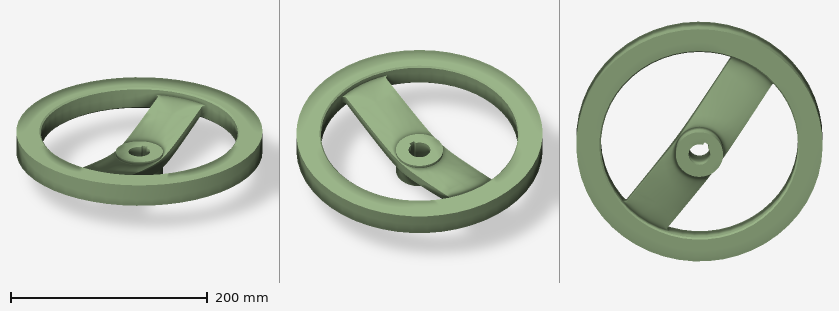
import cadquery as cq
import math

RIM_RADIUS = 125.0
RIM_BORE_RADIUS = 100.0
RIM_HEIGHT = 23.0
RIM_CHAMFER = 1.5

HUB_RADIUS = 24.0
HUB_BOTTOM = -28.0
HUB_TOP = 0.0
BORE_RADIUS = 11.0
KEYWAY_WIDTH = 6.0
KEYWAY_DEPTH = 2.8

SPOKE_WIDTH = 50.0
DISH_FLAT_RADIUS = SPOKE_WIDTH / 2
DISH_BOTTOM = -14.0
DISH_TOP = -3.0
DISH_BOTTOM_AT_RIM = 8.0
DISH_TOP_AT_RIM = 16.0
SPOKE_CORNER_RADIUS = 3.0
RIM_OVERLAP = 2.0


def revolve_about_z(radius_height_points):
    """Solid of revolution about Z, with its seam on the spoke axis (Y)."""
    profile = cq.Workplane("YZ").polyline(radius_height_points).close()
    return profile.revolve(360, (0, 0, 0), (0, 1, 0))


def make_rim():
    """Plain ring with both edges of its inner wall chamfered."""
    chamfered_radius = RIM_BORE_RADIUS + RIM_CHAMFER
    return revolve_about_z(
        [
            (RIM_RADIUS, 0),
            (RIM_RADIUS, RIM_HEIGHT),
            (chamfered_radius, RIM_HEIGHT),
            (RIM_BORE_RADIUS, RIM_HEIGHT - RIM_CHAMFER),
            (RIM_BORE_RADIUS, RIM_CHAMFER),
            (chamfered_radius, 0),
        ]
    )


def make_dish():
    """Conical dish that carries the spoke from the hub up into the rim."""
    overlap_ratio = RIM_OVERLAP / (RIM_BORE_RADIUS - DISH_FLAT_RADIUS)
    outer_radius = RIM_BORE_RADIUS + RIM_OVERLAP
    outer_bottom = DISH_BOTTOM_AT_RIM + overlap_ratio * (DISH_BOTTOM_AT_RIM - DISH_BOTTOM)
    outer_top = DISH_TOP_AT_RIM + overlap_ratio * (DISH_TOP_AT_RIM - DISH_TOP)
    return revolve_about_z(
        [
            (0, DISH_BOTTOM),
            (DISH_FLAT_RADIUS, DISH_BOTTOM),
            (outer_radius, outer_bottom),
            (outer_radius, outer_top),
            (DISH_FLAT_RADIUS, DISH_TOP),
            (0, DISH_TOP),
        ]
    )


def make_window(side):
    """Cutter for the opening between spoke and rim on one side of the hub, with rounded corners."""
    spoke_side = side * SPOKE_WIDTH / 2
    corner_y = math.sqrt(RIM_BORE_RADIUS**2 - spoke_side**2)
    segment = (
        cq.Workplane("XY")
        .workplane(offset=HUB_BOTTOM)
        .moveTo(spoke_side, -corner_y)
        .threePointArc((side * RIM_BORE_RADIUS, 0), (spoke_side, corner_y))
        .close()
        .extrude(RIM_HEIGHT - HUB_BOTTOM)
    )
    return segment.edges("|Z").fillet(SPOKE_CORNER_RADIUS)


def make_spoke():
    """Strip of the dish left between the two windows, as wide as its rounded ends."""
    corner_centre_x = SPOKE_WIDTH / 2 + SPOKE_CORNER_RADIUS
    end_width = 2 * corner_centre_x * RIM_BORE_RADIUS / (RIM_BORE_RADIUS - SPOKE_CORNER_RADIUS)
    strip = (
        cq.Workplane("XY")
        .workplane(offset=HUB_BOTTOM)
        .rect(end_width, 2 * RIM_RADIUS)
        .extrude(RIM_HEIGHT - HUB_BOTTOM)
    )
    return make_dish().cut(make_window(1)).cut(make_window(-1)).intersect(strip)


def make_hub():
    """Straight cylinder through the middle of the spoke."""
    return cq.Workplane("XY").workplane(offset=HUB_BOTTOM).circle(HUB_RADIUS).extrude(HUB_TOP - HUB_BOTTOM)


def make_keyed_bore():
    """Through bore with a keyway on its +Y side."""
    height = HUB_TOP - HUB_BOTTOM
    keyway_reach = BORE_RADIUS + KEYWAY_DEPTH
    base = cq.Workplane("XY").workplane(offset=HUB_BOTTOM)
    bore = base.circle(BORE_RADIUS).extrude(height)
    keyway = base.center(0, keyway_reach / 2).rect(KEYWAY_WIDTH, keyway_reach).extrude(height)
    return bore.union(keyway)


result = make_rim().union(make_spoke()).union(make_hub()).cut(make_keyed_bore())